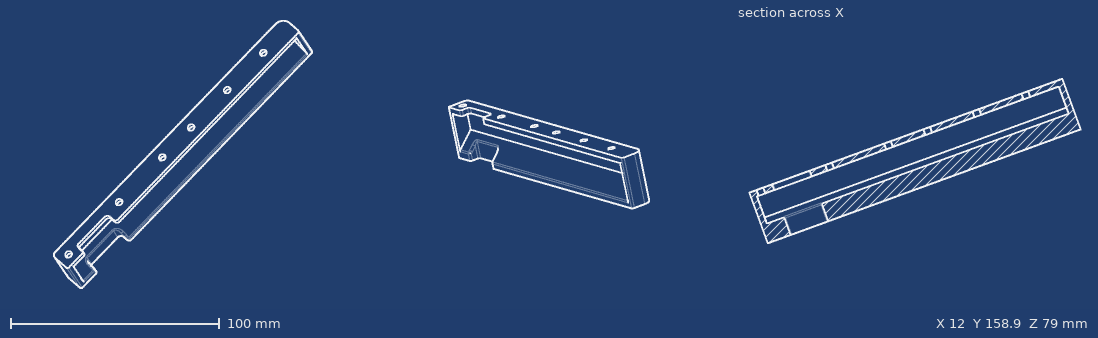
import cadquery as cq

length = 159.7
width = 12.0
height = 25.9
tilt_angle = 20.0

tail_outer_radius = 5.0
tail_inner_radius = 1.0
nose_outer_radius = 2.0
nose_inner_radius = 0.8
notch_near_radius = 1.0
notch_far_corner_radius = 2.0
notch_far_edge_radius = 1.5

nose_width = 11.0
notch_start = 11.2
notch_end = 32.3
notch_skin = 5.95

wall = 3.0
floor_lip = 3.2
floor_end_radius = 1.2

hole_diameter = 3.3
hole_x = width / 2
first_hole = 5.5
hole_spacings = [35, 30, 20, 25, 25]

margin = 0.01
overshoot = 1.0


def corner_fillet(body, x, y, radius):
    """Round the upright edge at plan position (x, y)."""
    low_corner = (x - margin, y - margin, 0)
    high_corner = (x + margin, y + margin, height)
    corner = cq.selectors.BoxSelector(low_corner, high_corner)
    return body.edges("|Z").edges(corner).fillet(radius)


def make_bar():
    """Solid bar with the notch and every upright corner rounded."""
    outline = [
        (0, 0),
        (nose_width, 0),
        (nose_width, notch_start),
        (notch_skin, notch_start),
        (notch_skin, notch_end),
        (width, notch_end),
        (width, length),
        (0, length),
    ]
    radii = [
        nose_outer_radius,
        nose_inner_radius,
        notch_near_radius,
        notch_near_radius,
        notch_far_corner_radius,
        notch_far_edge_radius,
        tail_inner_radius,
        tail_outer_radius,
    ]
    bar = cq.Workplane("XY").polyline(outline).close().extrude(height)
    for (x, y), radius in zip(outline, radii):
        bar = corner_fillet(bar, x, y, radius)
    return bar


def make_hollow():
    """Cutter for the hollow, leaving walls all round except on the +X side."""
    open_side = width + overshoot
    ceiling = height - wall
    floor_at_back = floor_lip + width - wall
    section = [
        (wall, ceiling),
        (open_side, ceiling),
        (open_side, floor_lip - overshoot),
        (wall, floor_at_back),
    ]
    hollow = cq.Workplane("XZ").polyline(section).close().extrude(-(length - 2 * wall))
    return hollow.translate((0, wall, 0))


def make_holes():
    """Cutters for the row of screw holes through the upper wall."""
    positions = [(hole_x, first_hole)]
    for spacing in hole_spacings:
        positions.append((hole_x, positions[-1][1] + spacing))
    drills = cq.Workplane("XY").workplane(offset=height - wall).pushPoints(positions)
    return drills.circle(hole_diameter / 2).extrude(wall)


def round_floor_ends(body):
    """Round the two sloping edges where the hollow's floor breaks out into the notch."""
    low_corner = (notch_skin, notch_start - margin, 0)
    high_corner = (width, notch_end + margin, height)
    notch_zone = cq.selectors.BoxSelector(low_corner, high_corner)
    sloping = cq.selectors.ParallelDirSelector(cq.Vector(1, 0, -1))
    return body.edges(notch_zone).edges(sloping).fillet(floor_end_radius)


hollow_bar = make_bar().cut(make_hollow())
flat_bar = round_floor_ends(hollow_bar).cut(make_holes())
result = flat_bar.rotate((0, 0, 0), (1, 0, 0), tilt_angle)